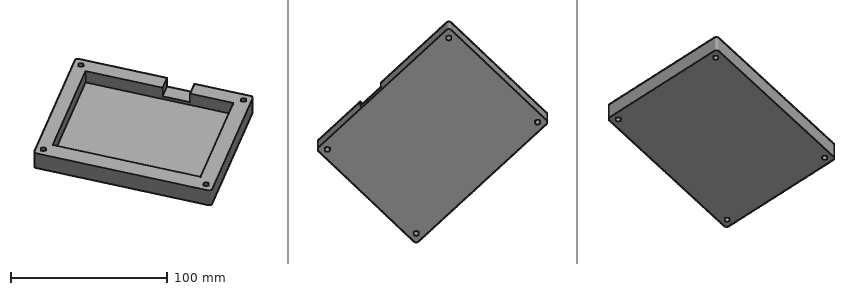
import cadquery as cq

length = 119.0
width = 91.0
height = 13.2
corner_radius = 2.0

left_wall = 9.5
back_wall = 9.5
cavity_length = 99.0
cavity_width = 71.0
floor_thickness = 3.1

notch_start = 61.2
notch_length = 18.3
notch_depth = 7.6

hole_diameter = 3.5
hole_inset = 5.0


def box_between(low, high):
    """Box spanning two opposite corner points."""
    sizes = [b - a for a, b in zip(low, high)]
    return cq.Workplane("XY").box(*sizes, centered=False).translate(low)


left = -length / 2
back = width / 2

block = (
    cq.Workplane("XY")
    .box(length, width, height, centered=(True, True, False))
    .edges("|Z")
    .fillet(corner_radius)
)

cavity_left = left + left_wall
cavity_back = back - back_wall
cavity = box_between(
    (cavity_left, cavity_back - cavity_width, floor_thickness),
    (cavity_left + cavity_length, cavity_back, height),
)

notch_left = left + notch_start
notch = box_between(
    (notch_left, cavity_back, height - notch_depth),
    (notch_left + notch_length, back, height),
)

holes = (
    cq.Workplane("XY")
    .rect(length - 2 * hole_inset, width - 2 * hole_inset, forConstruction=True)
    .vertices()
    .circle(hole_diameter / 2)
    .extrude(height)
)

result = block.cut(cavity).cut(notch).cut(holes)